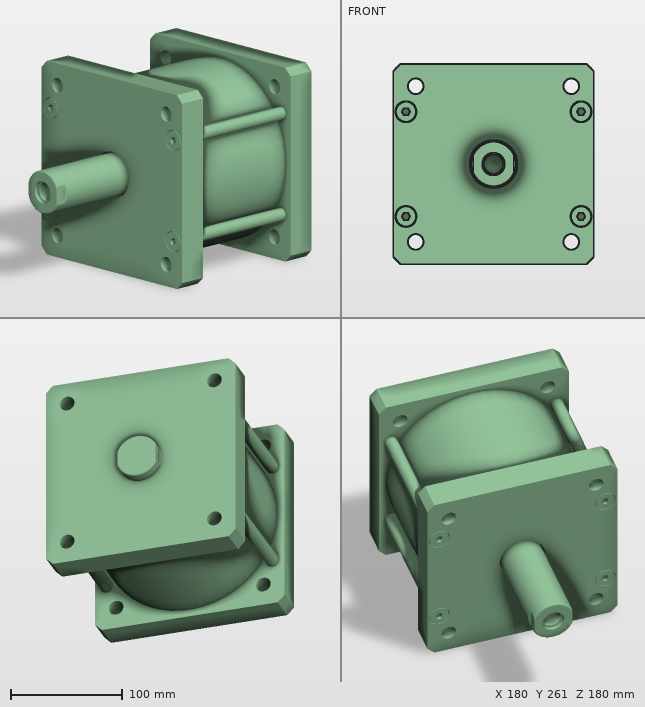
import cadquery as cq
import math


PLATE_SIDE = 180.0
PLATE_THICKNESS = 26.4
CORNER_CIRCLE_DIAMETER = 245.3
MOUNT_HOLE_DIAMETER = 13.8
MOUNT_HOLE_SPACING = 139.6
SHAFT_CLEARANCE_DIAMETER = 43.0

TUBE_DIAMETER = 167.0
TUBE_LENGTH = 109.5

ROD_DIAMETER = 12.0
ROD_SPACING_X = 157.0
ROD_SPACING_Z = 94.0
HEAD_DIAMETER = 18.0
HEAD_RECESS_DIAMETER = 19.0
HEAD_HEIGHT = ROD_DIAMETER
SOCKET_WIDTH = 6.5
SOCKET_DEPTH = HEAD_HEIGHT / 2

TOTAL_LENGTH = 261.0
SHAFT_DIAMETER = 40.0
SHAFT_REAR_LENGTH = 11.7
SHAFT_END_ROUND = 1.7
FLAT_SPACING = 36.0
FLAT_LENGTH = 10.0

BORE_DIAMETER = 17.2
BORE_DEPTH = 31.3
BORE_MOUTH_DIAMETER = 20.4
BORE_MOUTH_DEPTH = 4.0
BORE_TIP_ANGLE = 118.0

BODY_LENGTH = 2 * PLATE_THICKNESS + TUBE_LENGTH
REAR_PLATE_START = BODY_LENGTH - PLATE_THICKNESS
SHAFT_REAR_END = BODY_LENGTH + SHAFT_REAR_LENGTH
SHAFT_FRONT_END = SHAFT_REAR_END - TOTAL_LENGTH


def plane_at(y):
    """XZ sketch plane at the given Y; extrusions from it run toward +Y."""
    return cq.Workplane(cq.Plane(origin=(0, y, 0), xDir=(1, 0, 0), normal=(0, -1, 0)))


def cylinder(diameter, start, length):
    """Cylinder on the shaft axis, running toward +Y from start."""
    return plane_at(start).circle(diameter / 2).extrude(-length)


def end_plate(start):
    """Square plate with its corners turned to a circle and four mounting holes."""
    turned_blank = cylinder(CORNER_CIRCLE_DIAMETER, start, PLATE_THICKNESS)
    holes = (
        plane_at(start)
        .rect(MOUNT_HOLE_SPACING, MOUNT_HOLE_SPACING, forConstruction=True)
        .vertices()
        .circle(MOUNT_HOLE_DIAMETER / 2)
        .extrude(-PLATE_THICKNESS)
    )
    square = plane_at(start).rect(PLATE_SIDE, PLATE_SIDE).extrude(-PLATE_THICKNESS)
    return square.intersect(turned_blank).cut(holes)


def rod_positions(start):
    """The four tie-rod centres on the plane at start."""
    return plane_at(start).rect(ROD_SPACING_X, ROD_SPACING_Z, forConstruction=True).vertices()


def tie_rods():
    return rod_positions(PLATE_THICKNESS).circle(ROD_DIAMETER / 2).extrude(-TUBE_LENGTH)


def screw_gaps():
    """Narrow ring gaps between the screw heads and their recesses."""
    recesses = rod_positions(0).circle(HEAD_RECESS_DIAMETER / 2).extrude(-HEAD_HEIGHT)
    heads = rod_positions(0).circle(HEAD_DIAMETER / 2).extrude(-HEAD_HEIGHT)
    return recesses.cut(heads)


def screw_sockets():
    """Hexagonal key sockets with two flats level."""
    across_corners = SOCKET_WIDTH / math.cos(math.pi / 6)
    return rod_positions(0).polygon(6, across_corners).extrude(-SOCKET_DEPTH)


def wrench_flats(end, inward):
    """Material removed for two flats at a shaft end; inward is the Y direction into the shaft."""
    flat_x = FLAT_SPACING / 2
    rim_x = SHAFT_DIAMETER / 2
    flat_end = end + inward * FLAT_LENGTH
    runout_end = flat_end + inward * (rim_x - flat_x)
    flat = (
        cq.Workplane("XY")
        .polyline([(flat_x, end), (flat_x, flat_end), (rim_x, runout_end), (rim_x, end)])
        .close()
        .extrude(rim_x, both=True)
    )
    return flat.union(flat.mirror("YZ"))


def end_bore():
    """Blind drilled hole with a conical tip and a counterbored mouth."""
    radius = BORE_DIAMETER / 2
    mouth_radius = BORE_MOUTH_DIAMETER / 2
    tip_depth = radius / math.tan(math.radians(BORE_TIP_ANGLE / 2))
    return (
        cq.Workplane("XY", origin=(0, SHAFT_FRONT_END, 0))
        .polyline([
            (0, 0),
            (mouth_radius, 0),
            (mouth_radius, BORE_MOUTH_DEPTH),
            (radius, BORE_MOUTH_DEPTH),
            (radius, BORE_DEPTH),
            (0, BORE_DEPTH + tip_depth),
        ])
        .close()
        .revolve(360, (0, 0, 0), (0, 1, 0))
    )


def shaft():
    body = cylinder(SHAFT_DIAMETER, SHAFT_FRONT_END, TOTAL_LENGTH)
    body = body.faces("<Y or >Y").edges().fillet(SHAFT_END_ROUND)
    body = body.cut(wrench_flats(SHAFT_FRONT_END, 1)).cut(wrench_flats(SHAFT_REAR_END, -1))
    return body.cut(end_bore())


front_plate = (
    end_plate(0)
    .cut(cylinder(SHAFT_CLEARANCE_DIAMETER, 0, PLATE_THICKNESS))
    .cut(screw_gaps())
    .cut(screw_sockets())
)

result = (
    cylinder(TUBE_DIAMETER, PLATE_THICKNESS, TUBE_LENGTH)
    .union(front_plate)
    .union(end_plate(REAR_PLATE_START))
    .union(tie_rods())
    .union(shaft())
)